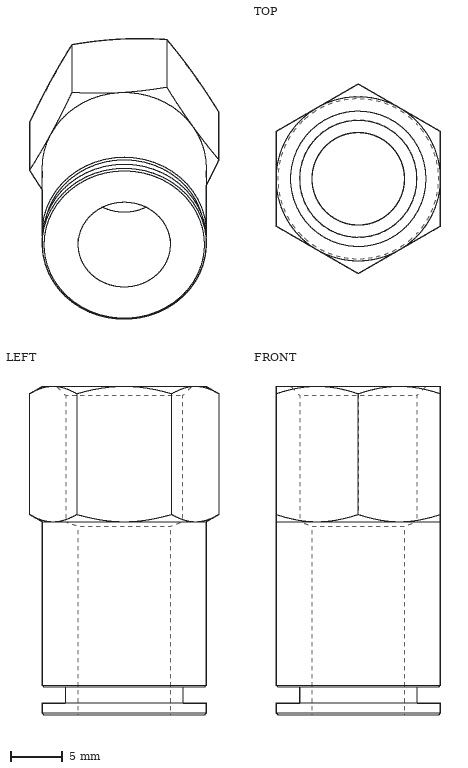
import cadquery as cq
import math

total_height = 32.0
hex_bottom = 18.8
body_bottom = 2.72
flange_top = 1.2

across_flats = 16.0
across_corners = across_flats / math.cos(math.radians(30))
body_diameter = across_flats
neck_diameter = 11.45
hex_chamfer_angle = 30.0
body_chamfer = 0.2
flange_chamfer = 0.2

through_diameter = 9.0
socket_diameter = 11.4
socket_mouth_diameter = 13.2
socket_depth = total_height - hex_bottom
mouth_depth = (socket_mouth_diameter - socket_diameter) / 2
floor_cone_angle = 20.0


def cylinder(diameter, bottom, top):
    return cq.Workplane("XY").workplane(offset=bottom).circle(diameter / 2).extrude(top - bottom)


def hexagon_head():
    """Hexagon with flats facing +X and -X and conically chamfered corners at both ends."""
    prism = (
        cq.Workplane("XY")
        .workplane(offset=hex_bottom)
        .polygon(6, across_corners)
        .extrude(total_height - hex_bottom)
        .rotate((0, 0, 0), (0, 0, 1), 30)
    )
    flat_radius = across_flats / 2
    corner_radius = across_corners / 2
    corner_drop = (corner_radius - flat_radius) * math.tan(math.radians(hex_chamfer_angle))
    envelope = (
        cq.Workplane("XZ")
        .moveTo(0, hex_bottom)
        .lineTo(flat_radius, hex_bottom)
        .lineTo(corner_radius, hex_bottom + corner_drop)
        .lineTo(corner_radius, total_height - corner_drop)
        .lineTo(flat_radius, total_height)
        .lineTo(0, total_height)
        .close()
        .revolve(360, (0, 0, 0), (0, 1, 0))
    )
    return prism.intersect(envelope)


def internal_bore():
    """Through hole opening into a wider socket, with a conical floor and a chamfered mouth at the top."""
    mouth_radius = socket_mouth_diameter / 2
    socket_radius = socket_diameter / 2
    through_radius = through_diameter / 2
    socket_end = total_height - socket_depth
    floor_drop = (socket_radius - through_radius) * math.tan(math.radians(floor_cone_angle))
    return (
        cq.Workplane("XZ")
        .lineTo(through_radius, 0)
        .lineTo(through_radius, socket_end - floor_drop)
        .lineTo(socket_radius, socket_end)
        .lineTo(socket_radius, total_height - mouth_depth)
        .lineTo(mouth_radius, total_height)
        .lineTo(0, total_height)
        .close()
        .revolve(360, (0, 0, 0), (0, 1, 0))
    )


body = cylinder(body_diameter, body_bottom, hex_bottom).faces("<Z").chamfer(body_chamfer)
neck = cylinder(neck_diameter, flange_top, body_bottom)
flange = cylinder(body_diameter, 0, flange_top).faces("<Z").chamfer(flange_chamfer)

result = hexagon_head().union(body).union(neck).union(flange).cut(internal_bore())